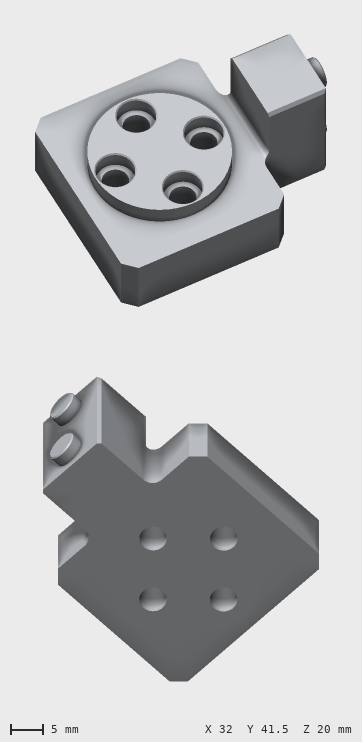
import cadquery as cq
import math

total_length = 41.5
base_width = 32.0
tab_height = 20.0

base_height = tab_height / 2
corner_chamfer = 2.0

tab_width = 12.5
tab_thickness = 10.0
tab_chamfer = 0.5
side_fillet = 2.0
front_fillet = 1.0
tab_gap = 1.5

disc_diameter = 22.0
disc_height = 3.0
screw_count = 4
screw_circle_radius = 7.6
screw_hole_diameter = 4.2
counterbore_diameter = 6.0
counterbore_depth = 2.7
counterbore_chamfer = 0.2

pin_diameter = 5.0
pin_projection = 2.0
pin_seat_depth = pin_projection
pin_chamfer = 0.2
pin_edge_distance = 4.0
pin_heights = (pin_edge_distance, tab_height - pin_edge_distance)

base_length = total_length - pin_projection - tab_thickness - tab_gap
base_rear = base_length / 2
tab_front = base_rear + tab_gap
tab_rear = tab_front + tab_thickness


def make_base():
    return (
        cq.Workplane("XY")
        .rect(base_width, base_length)
        .extrude(base_height)
        .edges("|Z")
        .chamfer(corner_chamfer)
    )


def make_tab():
    """Tab with flared sides, cut back above the base to a filleted front face."""
    half_width = tab_width / 2
    flare_half_width = half_width + side_fillet
    flare_end = base_rear + side_fillet
    arc_offset = side_fillet * (1 - math.sqrt(0.5))
    arc_x = half_width + arc_offset
    arc_y = base_rear + arc_offset
    tab = (
        cq.Workplane("XY")
        .moveTo(-flare_half_width, base_rear)
        .lineTo(flare_half_width, base_rear)
        .threePointArc((arc_x, arc_y), (half_width, flare_end))
        .lineTo(half_width, tab_rear - tab_chamfer)
        .lineTo(half_width - tab_chamfer, tab_rear)
        .lineTo(-half_width + tab_chamfer, tab_rear)
        .lineTo(-half_width, tab_rear - tab_chamfer)
        .lineTo(-half_width, flare_end)
        .threePointArc((-arc_x, arc_y), (-flare_half_width, base_rear))
        .close()
        .extrude(tab_height)
    )
    upper_notch = (
        cq.Workplane("YZ")
        .moveTo(base_rear, base_height)
        .lineTo(tab_front - front_fillet, base_height)
        .radiusArc((tab_front, base_height + front_fillet), -front_fillet)
        .lineTo(tab_front, tab_height)
        .lineTo(base_rear, tab_height)
        .close()
        .extrude(flare_half_width, both=True)
    )
    tab = tab.cut(upper_notch)
    long_top_edges = tab.faces(">Z").edges("|Y")
    return long_top_edges.chamfer(tab_chamfer)


def make_disc():
    return cq.Workplane("XY", origin=(0, 0, base_height)).circle(disc_diameter / 2).extrude(disc_height)


def make_screw_cutter():
    """Through hole, counterbore and rim chamfer, revolved about the Z axis."""
    disc_top = base_height + disc_height
    floor = disc_top - counterbore_depth
    hole_radius = screw_hole_diameter / 2
    counterbore_radius = counterbore_diameter / 2
    return (
        cq.Workplane("XZ")
        .lineTo(hole_radius, 0)
        .lineTo(hole_radius, floor)
        .lineTo(counterbore_radius, floor)
        .lineTo(counterbore_radius, disc_top - counterbore_chamfer)
        .lineTo(counterbore_radius + counterbore_chamfer, disc_top)
        .lineTo(0, disc_top)
        .close()
        .revolve(360, (0, 0, 0), (0, 1, 0))
    )


def make_pin(height):
    """Pin along Y, with a chamfered outer end."""
    return (
        cq.Workplane("XZ", origin=(0, tab_rear + pin_projection, height))
        .circle(pin_diameter / 2)
        .extrude(pin_projection + pin_seat_depth)
        .faces(">Y")
        .chamfer(pin_chamfer)
    )


pins = [make_pin(height) for height in pin_heights]

housing = make_base().union(make_tab()).union(make_disc())
screw_cutter = make_screw_cutter()
for index in range(screw_count):
    angle = 2 * math.pi * index / screw_count
    x = screw_circle_radius * math.cos(angle)
    y = screw_circle_radius * math.sin(angle)
    housing = housing.cut(screw_cutter.translate((x, y, 0)))
for pin in pins:
    housing = housing.cut(pin)

result = cq.Compound.makeCompound([housing.solids().val(), *[pin.val() for pin in pins]])